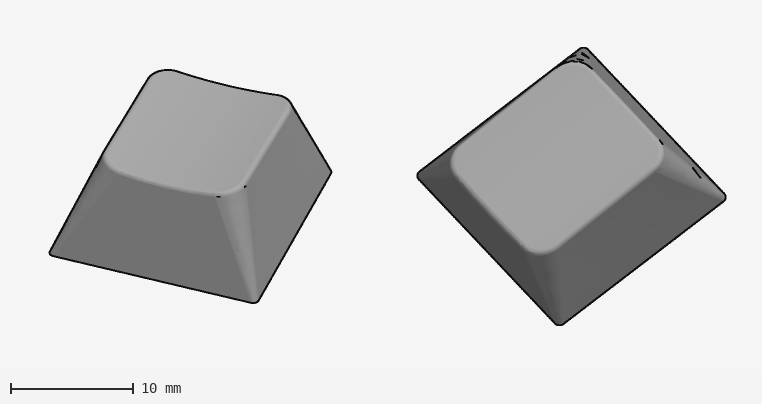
import cadquery as cq
import math

base_size = 18.1
base_corner = 0.49

top_width = 12.13
top_front_y = -5.6
top_back_y = 8.8
top_corner = 2.14
top_front_z = 8.02
top_tilt = 3.1

dish_radius = 36.2
dish_length = 54.3
rim_fillet = 0.43


def rounded_outline(half_width, front_y, back_y, corner, front_z, tilt):
    """Closed rounded rectangle at front_z, falling by tilt degrees along +Y."""
    slope = math.tan(math.radians(tilt))

    def place(x, y):
        return cq.Vector(x, y, front_z - slope * (y - front_y))

    corners = [
        (half_width - corner, front_y + corner, 270),
        (half_width - corner, back_y - corner, 0),
        (-half_width + corner, back_y - corner, 90),
        (-half_width + corner, front_y + corner, 180),
    ]
    arcs = []
    for center_x, center_y, start in corners:
        angles = [math.radians(start + turn) for turn in (0, 45, 90)]
        arcs.append([place(center_x + corner * math.cos(a), center_y + corner * math.sin(a)) for a in angles])
    edges = []
    for index, arc in enumerate(arcs):
        following = arcs[(index + 1) % len(arcs)]
        edges.append(cq.Edge.makeThreePointArc(*arc))
        edges.append(cq.Edge.makeLine(arc[-1], following[0]))
    return cq.Wire.assembleEdges(edges)


def make_body():
    """Tapered solid between the base and the tilted upper outline."""
    half_base = base_size / 2
    base = rounded_outline(half_base, -half_base, half_base, base_corner, 0, 0)
    top = rounded_outline(top_width / 2, top_front_y, top_back_y, top_corner, top_front_z, top_tilt)
    return cq.Workplane(obj=cq.Solid.makeLoft([base, top], True))


def make_dish():
    """Cylinder along the tilted top that touches the left and right rims."""
    tilt = math.radians(top_tilt)
    axis_height = math.sqrt(dish_radius**2 - (top_width / 2) ** 2)
    along = cq.Vector(0, math.cos(tilt), -math.sin(tilt))
    upward = cq.Vector(0, math.sin(tilt), math.cos(tilt))
    front_rim = cq.Vector(0, top_front_y, top_front_z)
    start = front_rim + upward * axis_height - along * (dish_length / 2)
    return cq.Solid.makeCylinder(dish_radius, dish_length, start, along)


dished = make_body().cut(cq.Workplane(obj=make_dish()))
result = dished.faces(">Z").edges().fillet(rim_fillet)